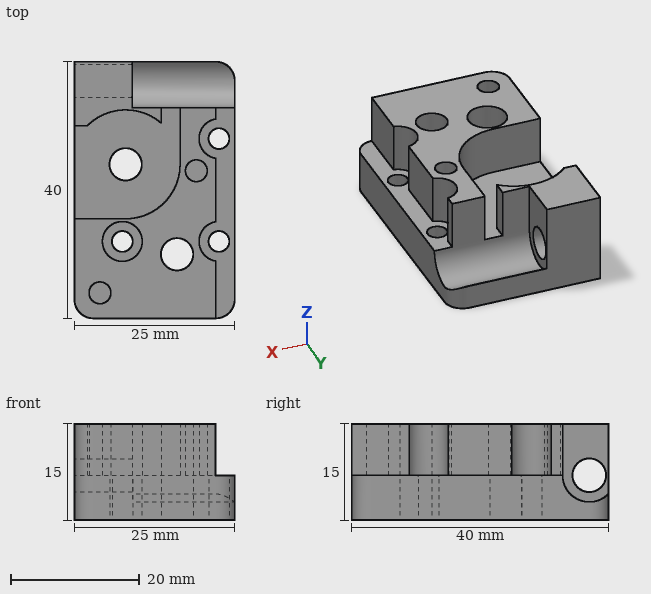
import cadquery as cq
import math

width = 25.0
length = 40.0
height = 15.0
corner_radius = 3.0
step_z = 7.0
ledge_x = 22.0

bore_y = 37.0
bore_diameter = 5.2
trough_radius = 4.15
trough_x = 9.0
trough_y = bore_y - trough_radius

pocket_x = 8.0
pocket_y = 24.0
pocket_radius = 8.5
pocket_left_y = 30.0
channel_x = 13.5

shaft_diameter = 5.0
shaft_points = [(pocket_x, pocket_y), (16.0, 10.0)]
screw_diameter = 3.2
screw_head_diameter = 6.2
screw_points = [(7.5, 12.0), (22.5, 12.0), (22.5, 28.0)]
pin_diameter = 3.4
pin_points = [(4.0, 4.0), (19.0, 23.0)]


def box(x0, x1, y0, y1, z0, z1):
    """Box spanning the given limits."""
    return cq.Workplane("XY").box(x1 - x0, y1 - y0, z1 - z0, centered=False).translate((x0, y0, z0))


def upright_cylinders(points, diameter, bottom):
    """Vertical cylinders from the bottom level to the top face."""
    plane = cq.Workplane("XY").workplane(offset=bottom)
    return plane.pushPoints(points).circle(diameter / 2).extrude(height - bottom)


def cross_cylinder(radius, x0):
    """Cylinder along the cross bore axis, from x0 to the right side."""
    return cq.Workplane("YZ", origin=(x0, bore_y, step_z)).circle(radius).extrude(width - x0)


def make_block():
    """Block with three rounded corners and a low ledge along the right side."""
    block = box(0, width, 0, length, 0, height)
    block = block.edges("|Z and (<Y or >X)").fillet(corner_radius)
    return block.cut(box(ledge_x, width, 0, length, step_z, height))


def make_pocket():
    """Pocket open to the left side and, through a channel, to the trough."""
    front_y = pocket_y - pocket_radius
    right_x = pocket_x + pocket_radius
    diagonal = pocket_radius * math.sqrt(0.5)
    channel_end_y = pocket_y + math.sqrt(pocket_radius**2 - (channel_x - pocket_x) ** 2)
    left_end_x = pocket_x - math.sqrt(pocket_radius**2 - (pocket_left_y - pocket_y) ** 2)
    return (
        cq.Workplane("XY", origin=(0, 0, step_z))
        .moveTo(0, front_y)
        .lineTo(pocket_x, front_y)
        .threePointArc((pocket_x + diagonal, pocket_y - diagonal), (right_x, pocket_y))
        .lineTo(right_x, bore_y)
        .lineTo(channel_x, bore_y)
        .lineTo(channel_x, channel_end_y)
        .threePointArc((pocket_x, pocket_y + pocket_radius), (left_end_x, pocket_left_y))
        .lineTo(0, pocket_left_y)
        .close()
        .extrude(height - step_z)
    )


def make_trough():
    """Round-bottomed trough, open above and behind."""
    opening = box(trough_x, width, trough_y, length, step_z, height)
    return opening.union(cross_cylinder(trough_radius, trough_x))


result = (
    make_block()
    .cut(make_pocket())
    .cut(make_trough())
    .cut(cross_cylinder(bore_diameter / 2, 0))
    .cut(upright_cylinders(shaft_points, shaft_diameter, 0))
    .cut(upright_cylinders(screw_points, screw_diameter, 0))
    .cut(upright_cylinders(screw_points, screw_head_diameter, step_z))
    .cut(upright_cylinders(pin_points, pin_diameter, step_z))
)